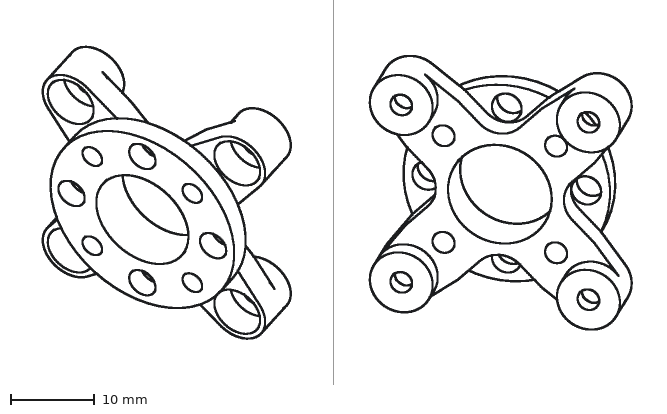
import cadquery as cq
import math

overall_width = 30.75
overall_depth = 8.88

disc_radius = 12.7
disc_thickness = 2.77
bore_radius = 6.35

hole_circle_radius = 9.78
large_hole_radius = 1.8
small_hole_radius = 1.35

boss_radius = 3.87
boss_offset = overall_width / 2 - boss_radius
counterbore_radius = 3.17
counterbore_depth = 3.8
screw_hole_radius = 1.32

plate_thickness = 3.55
arm_half_width = 4.55
valley_radius = 3.45
valley_floor = 7.87

DIAGONALS = [45, 135, 225, 315]
AXES = [0, 90, 180, 270]


def cylinder(x, z, radius, front, length):
    """Cylinder along +Y starting at y = front."""
    base = cq.Vector(x, front, z)
    return cq.Workplane(cq.Solid.makeCylinder(radius, length, base, cq.Vector(0, 1, 0)))


def turn(point, degrees):
    """Rotate an (x, z) point about the origin."""
    angle = math.radians(degrees)
    x, z = point
    return (
        x * math.cos(angle) - z * math.sin(angle),
        x * math.sin(angle) + z * math.cos(angle),
    )


def on_circle(radius, degrees):
    return turn((radius, 0), degrees)


def arm_plate():
    """Arms with sides tangent to the bosses, with parallel roots joined by round valleys."""
    knee_x = math.sqrt(disc_radius**2 - arm_half_width**2)
    boss_x = boss_offset * math.sqrt(2)
    to_knee = math.atan2(arm_half_width, knee_x - boss_x)
    knee_distance = math.hypot(knee_x - boss_x, arm_half_width)
    tangent_angle = to_knee - math.acos(boss_radius / knee_distance)
    tangent_x = boss_x + boss_radius * math.cos(tangent_angle)
    tangent_z = boss_radius * math.sin(tangent_angle)

    valley_center = valley_floor + valley_radius
    root_x = valley_center / math.sqrt(2)

    outline = cq.Workplane("XZ").moveTo(*turn((root_x, -arm_half_width), DIAGONALS[0]))
    for angle in DIAGONALS:
        outline = (
            outline.lineTo(*turn((knee_x, -arm_half_width), angle))
            .lineTo(*turn((tangent_x, -tangent_z), angle))
            .lineTo(*turn((tangent_x, tangent_z), angle))
            .lineTo(*turn((knee_x, arm_half_width), angle))
            .lineTo(*turn((root_x, arm_half_width), angle))
            .threePointArc(
                on_circle(valley_floor, angle + 45),
                turn((root_x, -arm_half_width), angle + 90),
            )
        )
    return outline.close().extrude(-plate_thickness).translate((0, disc_thickness, 0))


boss_centers = [on_circle(boss_offset * math.sqrt(2), angle) for angle in DIAGONALS]

result = cylinder(0, 0, disc_radius, 0, disc_thickness).union(arm_plate())
boss_length = overall_depth - disc_thickness
for x, z in boss_centers:
    result = result.union(cylinder(x, z, boss_radius, disc_thickness, boss_length))

for x, z in boss_centers:
    result = result.cut(cylinder(x, z, counterbore_radius, disc_thickness, counterbore_depth))
    result = result.cut(cylinder(x, z, screw_hole_radius, disc_thickness, overall_depth))

result = result.cut(cylinder(0, 0, bore_radius, 0, overall_depth))
for radius, angles in ((large_hole_radius, AXES), (small_hole_radius, DIAGONALS)):
    for angle in angles:
        result = result.cut(cylinder(*on_circle(hole_circle_radius, angle), radius, 0, overall_depth))